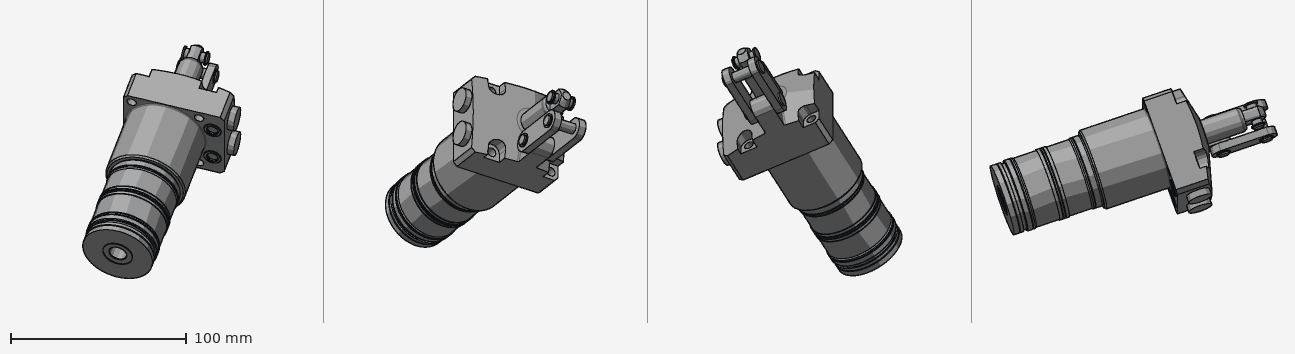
import cadquery as cq
import math


FLANGE_HEIGHT = 50.0
FLANGE_LEFT = 25.0
FLANGE_RIGHT = 35.0
FLANGE_CORNER = 2.5
FLANGE_BOTTOM = -FLANGE_HEIGHT / 2
CAP_TOP = 27.7
CAP_FLAT_RADIUS = 9.7
CAP_SLOPE = math.radians(15)
CAP_RADIUS = 48.6

HOLE_PITCH = 40.0
HOLE_DIAMETER = 5.5
POCKET_RADIUS = 5.2
POCKET_FLOOR = 17.0

PORT_X = 28.0
PORT_PITCH = 24.0
PORT_RING_RADIUS = 5.2
PORT_RING_HEIGHT = 0.5
PORT_RING_BEVEL = 0.3
PORT_BORE_RADIUS = 3.2
PORT_BORE_DEPTH = 0.8
PORT_CHAMFER = 0.3
PLUG_RADIUS = 7.0
PLUG_Y = 12.5
PLUG_PITCH = 22.0
PLUG_END = 38.9

BARREL_RADIUS = 23.6
BARREL_LENGTH = 39.5
BARREL_CHAMFER = 1.0
BARREL_ROOT_FILLET = 0.5
TAIL_END = 93.3
TAIL_RADIUS = 20.7
SEAL_RADIUS = 21.2
SEAL_TAPER = 1.0
GROOVE_WIDTH = 0.5
GROOVE_DEPTH = 0.2
RETAINER_RADIUS = 19.8
RETAINER_START = 85.5
RETAINER_END = 87.5
END_GROOVE_START = 89.4
SEAL_BANDS = (
    (BARREL_LENGTH, 46.5, SEAL_TAPER, SEAL_TAPER),
    (60.1, 66.0, 0, 0),
    (79.7, RETAINER_START, SEAL_TAPER, SEAL_TAPER / 2),
)
SEAL_GROOVE_STARTS = (44.0, 62.0, 63.5, 81.6)
TAIL_RECESS_RADIUS = 8.7
TAIL_RECESS_DEPTH = 0.5
TAIL_BORE_RADIUS = 5.0
TAIL_BORE_DEPTH = 16.2
TAIL_BORE_CHAMFER = 0.3

ROD_RADIUS = 7.1
ROD_SHOULDER = 52.0
ROD_CHAMFER_LENGTH = 1.6
ROD_LEAD_LENGTH = 0.6
ROD_LEAD_DEPTH = 0.2
EYE_RADIUS = 6.0
EYE_END = 64.6
EYE_CHAMFER = 3.4
EYE_WIDTH = 6.5

PIN_RADIUS = 3.0
PIN_HEAD_RADIUS = 4.0
PIN_HEAD_THICKNESS = 1.0
CLIP_THICKNESS = 0.6
PIN_TAIL = 1.6
ROD_PIN_Y = 58.6
ROD_PIN_GRIP = 12.3

LINK_END_RADIUS = 6.6
LINK_HEIGHT = 13.0
LINK_THICKNESS = 4.5
LINK_PITCH = 25.9
LINK_TIP = 68.7
LINK_GAP = 12.0
LINK_Z = FLANGE_BOTTOM + LINK_HEIGHT / 2
LINK_FRONT_Y = LINK_TIP - LINK_END_RADIUS
LINK_REAR_Y = LINK_FRONT_Y - LINK_PITCH
LUG_ROOT_Y = POCKET_FLOOR
LUG_FILLET = 0.8
LUG_EDGE_MARGIN = 0.2


def revolve_about_y(outline):
    """Revolve a closed outline drawn as (radius, y) about the cylinder axis."""
    return outline.close().revolve(360, (0, 0, 0), (0, 1, 0))


def disc(radius, y_from, y_to, x=0, z=0):
    """Cylinder parallel to Y between two Y positions."""
    plane = cq.Plane(origin=(x, y_from, z), xDir=(1, 0, 0), normal=(0, 1, 0))
    return cq.Workplane(plane).circle(radius).extrude(y_to - y_from)


def cross_bar(radius, x_from, x_to, y, z):
    """Cylinder parallel to X between two X positions."""
    return cq.Workplane("YZ", origin=(x_from, y, z)).circle(radius).extrude(x_to - x_from)


def box_between(x_from, x_to, y_from, y_to, z_from, z_to):
    """Box given by its six faces."""
    return cq.Workplane("XY").box(
        x_to - x_from, y_to - y_from, z_to - z_from, centered=False
    ).translate((x_from, y_from, z_from))


def make_flange():
    """Rectangular flange with bevelled corners under a shallow conical cap."""
    block = box_between(-FLANGE_LEFT, FLANGE_RIGHT, 0, CAP_TOP, FLANGE_BOTTOM, -FLANGE_BOTTOM)
    block = block.edges("|Y").chamfer(FLANGE_CORNER)
    cap_rim = CAP_TOP - (CAP_RADIUS - CAP_FLAT_RADIUS) * math.tan(CAP_SLOPE)
    cap = revolve_about_y(
        cq.Workplane("XY")
        .lineTo(CAP_RADIUS, 0)
        .lineTo(CAP_RADIUS, cap_rim)
        .lineTo(CAP_FLAT_RADIUS, CAP_TOP)
        .lineTo(0, CAP_TOP)
    )
    return block.intersect(cap)


def bolt_cut(x, z):
    """Through hole with a pocket above it that opens to the flange edge."""
    hole = disc(HOLE_DIAMETER / 2, 0, CAP_TOP, x, z)
    pocket = disc(POCKET_RADIUS, POCKET_FLOOR, CAP_TOP, x, z)
    edge_z = math.copysign(FLANGE_HEIGHT / 2, z)
    slot = box_between(
        x - POCKET_RADIUS,
        x + POCKET_RADIUS,
        POCKET_FLOOR,
        CAP_TOP,
        min(z, edge_z),
        max(z, edge_z),
    )
    cut = hole.union(pocket).union(slot)
    if x < 0:
        side_slot = box_between(
            -FLANGE_LEFT, x, POCKET_FLOOR, CAP_TOP, z - POCKET_RADIUS, z + POCKET_RADIUS
        )
        cut = cut.union(side_slot)
    return cut


def make_barrel():
    """Barrel below the flange, filleted at its root and chamfered at its end."""
    fillet_middle = BARREL_ROOT_FILLET * (1 - math.sqrt(0.5))
    return revolve_about_y(
        cq.Workplane("XY")
        .lineTo(BARREL_RADIUS + BARREL_ROOT_FILLET, 0)
        .threePointArc(
            (BARREL_RADIUS + fillet_middle, -fillet_middle),
            (BARREL_RADIUS, -BARREL_ROOT_FILLET),
        )
        .lineTo(BARREL_RADIUS, BARREL_CHAMFER - BARREL_LENGTH)
        .lineTo(BARREL_RADIUS - BARREL_CHAMFER, -BARREL_LENGTH)
        .lineTo(0, -BARREL_LENGTH)
    )


def groove_cut(radius, floor_radius, start, end):
    """Ring that cuts a groove into the tail, by depth below the flange."""
    return disc(radius, -end, -start).cut(disc(floor_radius, -end, -start))


def seal_band(start, end, start_taper, end_taper):
    """Raised seal band around the tail, by depth below the flange."""
    return revolve_about_y(
        cq.Workplane("XY")
        .moveTo(0, -start)
        .lineTo(TAIL_RADIUS, -start)
        .lineTo(SEAL_RADIUS, -start - start_taper)
        .lineTo(SEAL_RADIUS, end_taper - end)
        .lineTo(TAIL_RADIUS, -end)
        .lineTo(0, -end)
    )


def make_tail():
    """Cartridge tail with three seal bands, a retainer groove and an end bore."""
    tail = disc(TAIL_RADIUS, -TAIL_END, -BARREL_LENGTH)
    for band in SEAL_BANDS:
        tail = tail.union(seal_band(*band))
    for start in SEAL_GROOVE_STARTS:
        floor = SEAL_RADIUS - GROOVE_DEPTH
        tail = tail.cut(groove_cut(SEAL_RADIUS, floor, start, start + GROOVE_WIDTH))
    tail = tail.cut(groove_cut(SEAL_RADIUS, RETAINER_RADIUS, RETAINER_START, RETAINER_END))
    end_groove_end = END_GROOVE_START + GROOVE_WIDTH
    end_groove_floor = TAIL_RADIUS - GROOVE_DEPTH
    tail = tail.cut(groove_cut(TAIL_RADIUS, end_groove_floor, END_GROOVE_START, end_groove_end))
    bore_mouth = TAIL_RECESS_DEPTH - TAIL_END
    mouth_radius = TAIL_BORE_RADIUS + TAIL_BORE_CHAMFER
    bore = revolve_about_y(
        cq.Workplane("XY")
        .moveTo(0, -TAIL_END)
        .lineTo(TAIL_RECESS_RADIUS, -TAIL_END)
        .lineTo(TAIL_RECESS_RADIUS, bore_mouth)
        .lineTo(mouth_radius, bore_mouth)
        .lineTo(TAIL_BORE_RADIUS, bore_mouth + TAIL_BORE_CHAMFER)
        .lineTo(TAIL_BORE_RADIUS, TAIL_BORE_DEPTH - TAIL_END)
        .lineTo(0, TAIL_BORE_DEPTH - TAIL_END)
    )
    return tail.cut(bore)


def port_ring(z):
    """Low bevelled ring around an oil port on the flange seat."""
    ring = disc(PORT_RING_RADIUS, -PORT_RING_HEIGHT, 0, PORT_X, z)
    return ring.faces("<Y").chamfer(PORT_RING_BEVEL)


def port_bore(z):
    """Blind oil port with a bevelled mouth."""
    mouth = -PORT_RING_HEIGHT
    bore = disc(PORT_BORE_RADIUS, mouth, PORT_BORE_DEPTH, PORT_X, z)
    bevel = cq.Workplane("XY").add(
        cq.Solid.makeCone(
            PORT_BORE_RADIUS + PORT_CHAMFER,
            PORT_BORE_RADIUS,
            PORT_CHAMFER,
            cq.Vector(PORT_X, mouth, z),
            cq.Vector(0, 1, 0),
        )
    )
    return bore.union(bevel)


def make_rod():
    """Piston rod ending in a flattened eye with a conical tip."""
    chamfer_start = ROD_SHOULDER - ROD_CHAMFER_LENGTH
    shank = revolve_about_y(
        cq.Workplane("XY")
        .lineTo(ROD_RADIUS, 0)
        .lineTo(ROD_RADIUS, chamfer_start - ROD_LEAD_LENGTH)
        .lineTo(ROD_RADIUS - ROD_LEAD_DEPTH, chamfer_start)
        .lineTo(EYE_RADIUS, ROD_SHOULDER)
        .lineTo(0, ROD_SHOULDER)
    )
    eye = disc(EYE_RADIUS, ROD_SHOULDER, EYE_END).faces(">Y").chamfer(EYE_CHAMFER)
    slab = box_between(
        -EYE_WIDTH / 2, EYE_WIDTH / 2, ROD_SHOULDER, EYE_END, -EYE_RADIUS, EYE_RADIUS
    )
    return shank.union(eye.intersect(slab))


def make_pin(grip, y, z):
    """Headed pin along X, with a retaining clip at its +X end."""
    head_face = -grip / 2
    clip_face = grip / 2
    shank = cross_bar(PIN_RADIUS, head_face, clip_face + PIN_TAIL, y, z)
    head = cross_bar(PIN_HEAD_RADIUS, head_face - PIN_HEAD_THICKNESS, head_face, y, z)
    clip = cross_bar(PIN_HEAD_RADIUS, clip_face, clip_face + CLIP_THICKNESS, y, z)
    return shank.union(head).union(clip)


def make_lug():
    """Lug that carries the rear link pin, rounded at its tip."""
    lug_radius = LINK_HEIGHT / 2
    root = box_between(
        -LINK_GAP / 2,
        LINK_GAP / 2,
        LUG_ROOT_Y,
        LINK_REAR_Y,
        LINK_Z - lug_radius,
        LINK_Z + lug_radius,
    )
    return root.union(cross_bar(lug_radius, -LINK_GAP / 2, LINK_GAP / 2, LINK_REAR_Y, LINK_Z))


def add_lug(flange):
    """Join the lug to the flange cap with a root fillet and drill its pin hole."""
    joined = flange.union(make_lug())
    cap_drop = (FLANGE_HEIGHT / 2) * math.tan(CAP_SLOPE)
    side = LINK_GAP / 2 + LUG_EDGE_MARGIN
    root_edges = cq.selectors.BoxSelector(
        (-side, CAP_TOP - cap_drop, FLANGE_BOTTOM - LUG_EDGE_MARGIN),
        (side, CAP_TOP - LUG_EDGE_MARGIN, FLANGE_BOTTOM + LINK_HEIGHT + LUG_EDGE_MARGIN),
    )
    joined = joined.edges(root_edges).fillet(LUG_FILLET)
    return joined.cut(cross_bar(PIN_RADIUS, -LINK_GAP, LINK_GAP, LINK_REAR_Y, LINK_Z))


def make_cylinder():
    """Cylinder body with its rod and the captive pin in the rod eye."""
    body = add_lug(make_flange())
    for x in (-HOLE_PITCH / 2, HOLE_PITCH / 2):
        for z in (-HOLE_PITCH / 2, HOLE_PITCH / 2):
            body = body.cut(bolt_cut(x, z))
    body = body.union(make_barrel()).union(make_tail())
    for z in (-PORT_PITCH / 2, PORT_PITCH / 2):
        body = body.union(port_ring(z)).cut(port_bore(z))
    for z in (-PLUG_PITCH / 2, PLUG_PITCH / 2):
        body = body.union(cross_bar(PLUG_RADIUS, FLANGE_RIGHT, PLUG_END, PLUG_Y, z))
    body = body.union(make_rod())
    return body.union(make_pin(ROD_PIN_GRIP, ROD_PIN_Y, 0))


def make_link_plate(lower_face):
    """Round-ended link plate with two pin holes, starting at its lower X face."""
    half_height = LINK_HEIGHT / 2
    flat_overhang = math.sqrt(LINK_END_RADIUS**2 - half_height**2)
    flat_half = LINK_PITCH / 2 + flat_overhang
    tip = LINK_PITCH / 2 + LINK_END_RADIUS
    middle_y = (LINK_FRONT_Y + LINK_REAR_Y) / 2
    return (
        cq.Workplane("YZ", origin=(lower_face, middle_y, LINK_Z))
        .moveTo(-flat_half, -half_height)
        .lineTo(flat_half, -half_height)
        .threePointArc((tip, 0), (flat_half, half_height))
        .lineTo(-flat_half, half_height)
        .threePointArc((-tip, 0), (-flat_half, -half_height))
        .close()
        .pushPoints([(-LINK_PITCH / 2, 0), (LINK_PITCH / 2, 0)])
        .circle(PIN_RADIUS)
        .extrude(LINK_THICKNESS)
    )


cylinder = make_cylinder()
link_plates = [make_link_plate(x) for x in (-LINK_GAP / 2 - LINK_THICKNESS, LINK_GAP / 2)]
link_grip = LINK_GAP + 2 * LINK_THICKNESS
link_pins = [make_pin(link_grip, y, LINK_Z) for y in (LINK_REAR_Y, LINK_FRONT_Y)]

bodies = [cylinder] + link_plates + link_pins
result = cq.Compound.makeCompound([body.val() for body in bodies])